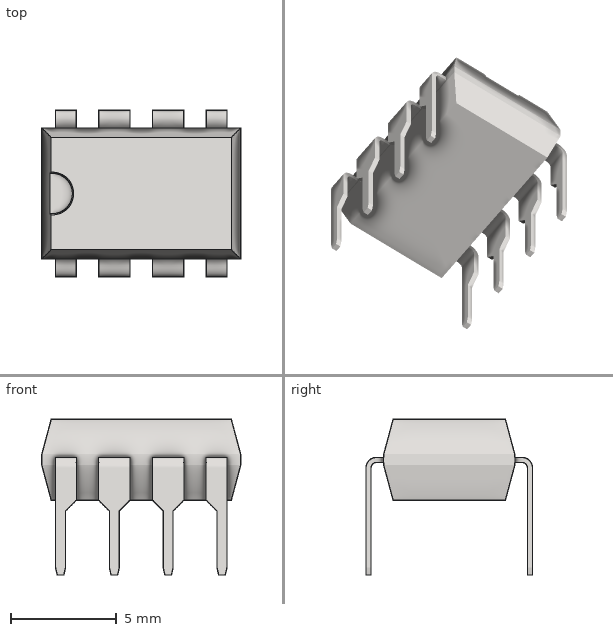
import cadquery as cq
import math

body_length = 9.4
body_width = 6.2
body_height = 3.84
band_height = 0.5
draft_angle = 15.0
standoff = 0.5

lead_span = 7.87
lead_pitch = 2.54
leads_per_side = 4
lead_thickness = 0.25
lead_drop = 0.01
bend_outer_radius = 0.5
blade_width = 0.48
shoulder_width = 1.49
overall_height = 7.36
tip_width = 0.32
tip_height = 0.35

notch_radius = 1.01
notch_depth = 0.22
notch_inset = 0.05

half_height = (body_height - band_height) / 2
draft_inset = half_height * math.tan(math.radians(draft_angle))
body_top = standoff + body_height
band_bottom = standoff + half_height
band_top = band_bottom + band_height
lead_top = (band_bottom + band_top + lead_thickness) / 2 - lead_drop
lead_bottom = body_top - overall_height
lead_face = lead_span / 2
notch_floor_radius = notch_radius - notch_depth * math.tan(math.radians(draft_angle))
bend_inner_radius = bend_outer_radius - lead_thickness
shoulder_step = (shoulder_width - blade_width) / 2


def make_body():
    band = (
        cq.Workplane("XY", origin=(0, 0, band_bottom))
        .rect(body_length, body_width)
        .extrude(band_height)
    )
    upper = band.faces(">Z").workplane().rect(body_length, body_width).extrude(
        half_height, taper=draft_angle, combine=False
    )
    lower = band.faces("<Z").workplane().rect(body_length, body_width).extrude(
        half_height, taper=draft_angle, combine=False
    )
    return band.union(upper).union(lower)


def make_notch():
    centre_x = -body_length / 2 + draft_inset + notch_inset
    return cq.Workplane(
        cq.Solid.makeCone(
            notch_floor_radius,
            notch_radius,
            notch_depth,
            pnt=cq.Vector(centre_x, 0, body_top - notch_depth),
        )
    )


def make_bent_strip():
    """Side profile of the -Y leads, one strip as long as the body."""
    outer_y = -lead_face
    inner_y = outer_y + lead_thickness
    bend_y = outer_y + bend_outer_radius
    bend_z = lead_top - bend_outer_radius
    root_y = -body_width / 2 + draft_inset
    diagonal = math.sqrt(0.5)
    outer_mid = bend_outer_radius * diagonal
    inner_mid = bend_inner_radius * diagonal
    return (
        cq.Workplane("YZ")
        .moveTo(outer_y, lead_bottom)
        .lineTo(outer_y, bend_z)
        .threePointArc((bend_y - outer_mid, bend_z + outer_mid), (bend_y, lead_top))
        .lineTo(root_y, lead_top)
        .lineTo(root_y, lead_top - lead_thickness)
        .lineTo(bend_y, lead_top - lead_thickness)
        .threePointArc((bend_y - inner_mid, bend_z + inner_mid), (inner_y, bend_z))
        .lineTo(inner_y, lead_bottom)
        .close()
        .extrude(body_length / 2, both=True)
    )


def make_lead_outline(centre_x, left_step, right_step):
    """Front outline of one lead; a step of zero leaves that side straight."""
    half_blade = blade_width / 2
    half_tip = tip_width / 2
    tip_top = lead_bottom + tip_height
    outline = cq.Workplane("XZ", origin=(centre_x, 0, 0)).moveTo(-half_tip, lead_bottom)
    outline = outline.lineTo(half_tip, lead_bottom).lineTo(half_blade, tip_top)
    if right_step:
        outline = outline.lineTo(half_blade, 0).lineTo(half_blade + right_step, right_step)
    outline = outline.lineTo(half_blade + right_step, lead_top)
    outline = outline.lineTo(-half_blade - left_step, lead_top)
    if left_step:
        outline = outline.lineTo(-half_blade - left_step, left_step).lineTo(-half_blade, 0)
    return outline.lineTo(-half_blade, tip_top).close().extrude(lead_face)


def make_lead_row():
    """Row of leads on the -Y side; the end leads have inward shoulders only."""
    strip = make_bent_strip()
    first_x = -lead_pitch * (leads_per_side - 1) / 2
    row = cq.Workplane("XY")
    for index in range(leads_per_side):
        left_step = 0 if index == 0 else shoulder_step
        right_step = 0 if index == leads_per_side - 1 else shoulder_step
        outline = make_lead_outline(first_x + index * lead_pitch, left_step, right_step)
        row = row.add(strip.intersect(outline))
    return row.combine()


lead_row = make_lead_row()
opposite_row = lead_row.mirror("XZ")

result = make_body().cut(make_notch()).union(lead_row).union(opposite_row)